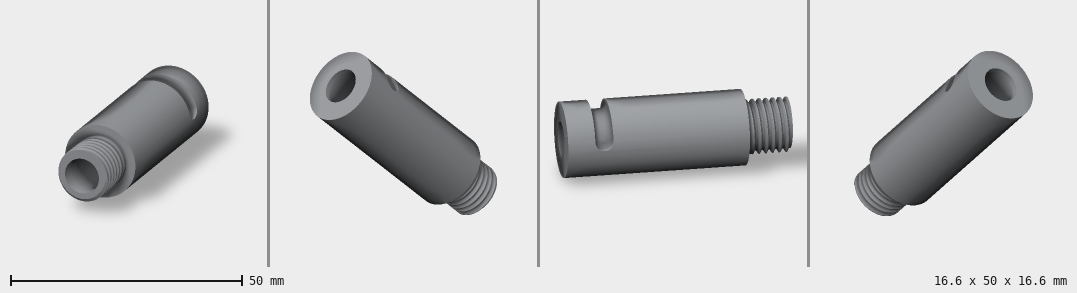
import cadquery as cq
import math

BODY_DIAMETER = 16.6
BODY_LENGTH = 40.0
SPIGOT_LENGTH = 10.0
BORE_DIAMETER = 8.0

THREAD_DIAMETER = 12.0
THREAD_PITCH = 1.5
THREAD_DEPTH = 0.75
CREST_WIDTH = THREAD_PITCH / 8
FLANK_HALF_ANGLE = math.radians(30)
FULL_TURNS = 6
LEAD_IN_ANGLE = 30.0
RUN_OUT_ANGLE = 90.0
THREAD_OVERSHOOT = 0.1

GROOVE_WIDTH = 4.0
GROOVE_DEPTH = 2.0
GROOVE_FROM_END = 8.0
GROOVE_FILLET = 1.0

CUT_MARGIN = 5.0


def cylinder(diameter, y_start, length):
    """Solid cylinder on the Y axis, running from y_start towards +Y.

    Its seam lies on the -X side, clear of the thread end on +X, so the thread cuts cleanly.
    """
    base = cq.Plane(origin=(0, y_start, 0), xDir=(-1, 0, 0), normal=(0, 1, 0))
    return cq.Workplane(base).circle(diameter / 2).extrude(length)


def thread_cutter():
    """Trapezoidal helical groove, built at the origin along Z and then laid along -Y."""
    crest_radius = THREAD_DIAMETER / 2
    root_radius = crest_radius - THREAD_DEPTH
    outer_radius = crest_radius + THREAD_OVERSHOOT
    flank_slope = math.tan(FLANK_HALF_ANGLE)
    half_mouth = (THREAD_PITCH - CREST_WIDTH) / 2
    half_root = half_mouth - THREAD_DEPTH * flank_slope
    half_outer = half_mouth + THREAD_OVERSHOOT * flank_slope

    lead_in_turns = LEAD_IN_ANGLE / 360
    turns = lead_in_turns + FULL_TURNS + RUN_OUT_ANGLE / 360
    start_from_tip = (lead_in_turns + FULL_TURNS) * THREAD_PITCH

    path = cq.Wire.makeHelix(THREAD_PITCH, turns * THREAD_PITCH, root_radius)
    profile = cq.Workplane("XZ").polyline([
        (root_radius, -half_root),
        (outer_radius, -half_outer),
        (outer_radius, half_outer),
        (root_radius, half_root),
    ]).close()
    groove = profile.sweep(cq.Workplane(obj=path), isFrenet=True)

    groove = groove.rotate((0, 0, 0), (1, 0, 0), 90)
    groove = groove.rotate((0, 0, 0), (0, 1, 0), 90 + LEAD_IN_ANGLE)
    return groove.translate((0, start_from_tip - SPIGOT_LENGTH, 0))


def retaining_groove_cutter():
    """Round-ended slot along X, kept outside the groove floor, with a rounded bottom."""
    half_width = GROOVE_WIDTH / 2
    floor_diameter = BODY_DIAMETER - 2 * GROOVE_DEPTH
    centre_y = BODY_LENGTH - GROOVE_FROM_END
    reach_out = BODY_DIAMETER / 2 + CUT_MARGIN

    slot = (
        cq.Workplane("YZ", origin=(0, centre_y, 0))
        .moveTo(-half_width, reach_out)
        .lineTo(-half_width, half_width)
        .threePointArc((0, 0), (half_width, half_width))
        .lineTo(half_width, reach_out)
        .close()
        .extrude(reach_out, both=True)
    )
    cutter = slot.cut(cylinder(floor_diameter, centre_y - GROOVE_WIDTH, 2 * GROOVE_WIDTH))

    box_reach = (floor_diameter + GROOVE_DEPTH) / 2
    floor_edges = cq.selectors.BoxSelector(
        (-box_reach, centre_y - GROOVE_WIDTH, -box_reach),
        (box_reach, centre_y + GROOVE_WIDTH, box_reach),
    )
    return cutter.edges(floor_edges).fillet(GROOVE_FILLET)


body = cylinder(BODY_DIAMETER, 0, BODY_LENGTH)
spigot = cylinder(THREAD_DIAMETER, -SPIGOT_LENGTH, SPIGOT_LENGTH)
bore = cylinder(BORE_DIAMETER, -SPIGOT_LENGTH, SPIGOT_LENGTH + BODY_LENGTH)

threaded_spigot = spigot.cut(thread_cutter())
result = threaded_spigot.union(body).cut(retaining_groove_cutter()).cut(bore).solids()